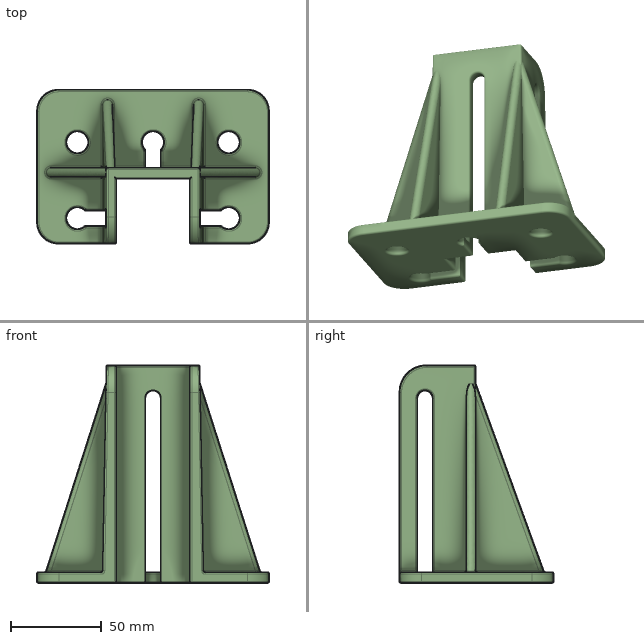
import cadquery as cq

plate_length = 128.0
plate_width = 85.0
plate_thickness = 6.0
plate_corner_radius = 12.0
front_y = -plate_width / 2

height = 120.0
column_back_y = -0.5
back_wall_thickness = 6.3
channel_width = 40.5
half_width_base = 27.8
half_width_top = 25.7
column_corner_radius = 15.0
channel_back_y = column_back_y - back_wall_thickness

rib_top = 110.1
rib_root_depth = 3.8
side_rib_foot_x = 59.1
side_rib_thickness = 5.1
back_rib_foot_y = 37.2
back_rib_foot_thickness = 5.4
back_rib_top_thickness = 5.0

hole_diameter = 12.0
hole_x = 41.7
back_hole_y = 13.5
front_hole_y = -28.4
slot_width = 8.5
slot_top = 106.1

edge_radius = 1.0

tolerance = 0.06


def half_width(z):
    """Half width of the drafted column at height z."""
    slope = (half_width_top - half_width_base) / (height - plate_thickness)
    return half_width_base + slope * (z - plate_thickness)


def make_plate():
    plate = cq.Workplane("XY").box(
        plate_length, plate_width, plate_thickness, centered=(True, True, False)
    )
    return plate.edges("|Z").fillet(plate_corner_radius)


def make_column():
    """Solid drafted column with rounded upper front edge and rear corners."""
    bottom = half_width(0)
    column = (
        cq.Workplane("XZ", origin=(0, column_back_y, 0))
        .polyline([
            (-bottom, 0), (bottom, 0), (half_width_top, height), (-half_width_top, height)
        ])
        .close()
        .extrude(column_back_y - front_y)
    )
    column = column.edges(">Z and <Y").fillet(column_corner_radius)
    return column.faces(">Y").edges("not(#Z)").fillet(edge_radius)


def rib_section(plane, root, tip, low_side, high_side):
    """Strip from root to tip along the local x axis, ending in a half circle."""
    radius = (high_side - low_side) / 2
    return (
        plane.moveTo(root, low_side)
        .lineTo(tip - radius, low_side)
        .threePointArc((tip, low_side + radius), (tip - radius, high_side))
        .lineTo(root, high_side)
        .close()
    )


def make_side_rib():
    """Rib on the +X side, flush with the back of the column."""
    root = half_width(rib_top) - rib_root_depth
    sides = (column_back_y - side_rib_thickness, column_back_y)
    foot = rib_section(
        cq.Workplane("XY", origin=(0, 0, plate_thickness)), root, side_rib_foot_x, *sides
    )
    rib = rib_section(
        foot.workplane(offset=rib_top - plate_thickness), root, half_width(rib_top), *sides
    )
    return rib.loft(ruled=True)


def make_back_rib():
    """Rib behind the column on the +X side, leaning with the drafted wall."""
    root = column_back_y - rib_root_depth
    foot_plane = cq.Plane(origin=(0, 0, plate_thickness), xDir=(0, 1, 0), normal=(0, 0, 1))
    foot_side = half_width(plate_thickness)
    top_side = half_width(rib_top)
    foot = rib_section(
        cq.Workplane(foot_plane),
        root, back_rib_foot_y, -foot_side, back_rib_foot_thickness - foot_side,
    )
    rib = rib_section(
        foot.workplane(offset=rib_top - plate_thickness),
        root, column_back_y, -top_side, back_rib_top_thickness - top_side,
    )
    return rib.loft(ruled=True)


def make_channel():
    """Space inside the U, open at the front, the top and the bottom."""
    depth = channel_back_y - front_y
    channel = cq.Workplane("XY").box(channel_width, depth, height, centered=(True, False, False))
    return channel.translate((0, front_y, 0))


def make_hole(x, y):
    """Round hole through the base plate."""
    return cq.Workplane("XY").center(x, y).circle(hole_diameter / 2).extrude(plate_thickness)


def make_slot(start, direction, length):
    """Upright slot with a round top, running level from start along direction."""
    radius = slot_width / 2
    plane = cq.Plane(origin=start, xDir=(-direction[1], direction[0], 0), normal=direction)
    return (
        cq.Workplane(plane)
        .moveTo(-radius, 0)
        .lineTo(-radius, slot_top - radius)
        .threePointArc((0, slot_top), (radius, slot_top - radius))
        .lineTo(radius, 0)
        .close()
        .extrude(length)
    )


def box_around(center, half_size):
    """Selector for whatever has its centre within half_size of center."""
    low = [c - h for c, h in zip(center, half_size)]
    high = [c + h for c, h in zip(center, half_size)]
    return cq.selectors.BoxSelector(low, high)


body = make_plate().union(make_column())
for rib in (make_side_rib(), make_back_rib()):
    body = body.union(rib).union(rib.mirror("YZ"))

foot_area = (side_rib_foot_x, plate_width / 2 - tolerance, tolerance)
body = body.edges(box_around((0, 0, plate_thickness), foot_area)).fillet(edge_radius)

body = body.cut(make_channel())

front_edges = box_around((0, front_y, height / 2), (half_width_base, tolerance, height / 4))
channel_back_edge = box_around((0, channel_back_y, height), (tolerance, tolerance, tolerance))
body = (
    body.edges(front_edges)
    .add(body.edges(channel_back_edge))
    .fillet(edge_radius)
)

holes = [
    (-hole_x, back_hole_y),
    (0, back_hole_y),
    (hole_x, back_hole_y),
    (-hole_x, front_hole_y),
    (hole_x, front_hole_y),
]
for x, y in holes:
    body = body.cut(make_hole(x, y))
body = body.cut(make_slot((0, channel_back_y, 0), (0, 1, 0), back_hole_y - channel_back_y))
for side in (-1, 1):
    body = body.cut(make_slot((0, front_hole_y, 0), (side, 0, 0), hole_x))

for x, y in holes:
    rim_area = (hole_diameter, hole_diameter, tolerance)
    body = body.edges(box_around((x, y, plate_thickness), rim_area)).fillet(edge_radius)

result = body.faces("<Z").edges().fillet(edge_radius)